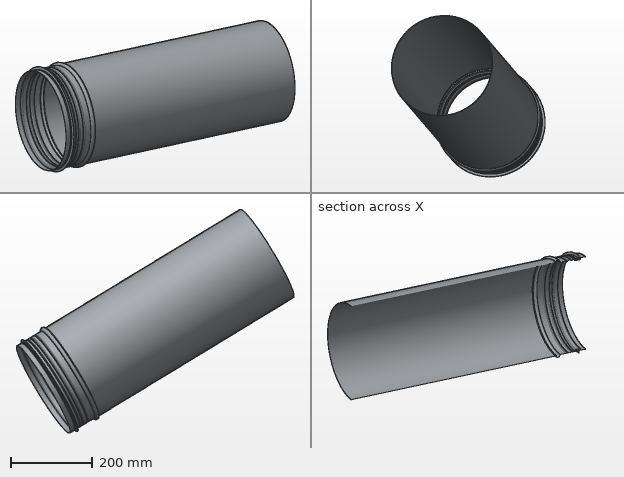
import cadquery as cq
import math

TOTAL_LENGTH = 650.0
SHEET = 1.0

DUCT_RADIUS = 254.7 / 2
DUCT_START = 80.5

COUPLING_RADIUS = 252.0 / 2
BEAD_RADIUS = 264.6 / 2 - COUPLING_RADIUS
BEAD_Y = 76.5
ROLLED_GROOVE_FLOOR_RADIUS = 247.0 / 2
ROLLED_GROOVE_BEND = (COUPLING_RADIUS - ROLLED_GROOVE_FLOOR_RADIUS) / 2
ROLLED_GROOVE_YS = (38.3, 51.3)

SEAT_START = 12.7
SEAT_WIDTH = 18.3
SEAT_END = SEAT_START + SEAT_WIDTH
SEAT_FLOOR_RADIUS = 242.0 / 2
SEAT_RIM_BEND = 2.0
SEAT_FLOOR_BEND = 2.0

SEAL_RADIUS = 250.6 / 2
LIP_RADIUS = 264.6 / 2
LIP_BASE_START = 16.7
LIP_BASE_END = 20.5
LIP_TIP_START = 18.2
LIP_TIP_WIDTH = 1.0

STRAP_RADIUS = 251.6 / 2
STRAP_START = LIP_BASE_END
STRAP_WIDTH = 6.7

OUT = (1, 0)
IN = (-1, 0)
FRONT = (0, -1)
BACK = (0, 1)


def turned(profile):
    """Revolve a closed outline, drawn as (radius, y), about the Y axis."""
    return profile.close().revolve(360, (0, 0), (0, 1))


def ring(inner_radius, outer_radius, start, length):
    """Plain tube from `start`, `length` long."""
    return turned(
        cq.Workplane("XY")
        .moveTo(inner_radius, start)
        .lineTo(outer_radius, start)
        .lineTo(outer_radius, start + length)
        .lineTo(inner_radius, start + length)
    )


def quarter_bend(outline, center, bend_radius, start, end):
    """Add a quarter arc from direction `start` to direction `end`, both unit vectors."""
    diagonal = math.sqrt(0.5)
    middle = [(a + b) * diagonal for a, b in zip(start, end)]
    points = [(center[0] + bend_radius * d[0], center[1] + bend_radius * d[1]) for d in (middle, end)]
    return outline.threePointArc(*points)


def add_groove(outline, inset, start, end, floor_radius, bends, has_straights):
    """Add a groove with bent rims and floor corners, joined by straights if it has them."""
    rim_bend, floor_bend = bends
    rim_center = COUPLING_RADIUS - rim_bend
    floor_center = floor_radius + floor_bend
    floor_start = start + rim_bend + floor_bend
    floor_end = end - rim_bend - floor_bend
    inset_rim = rim_bend - inset
    inset_floor = floor_bend + inset

    outline = outline.lineTo(COUPLING_RADIUS - inset, start)
    outline = quarter_bend(outline, (rim_center, start), inset_rim, OUT, BACK)
    if has_straights:
        outline = outline.lineTo(floor_center, start + inset_rim)
    outline = quarter_bend(outline, (floor_center, floor_start), inset_floor, FRONT, IN)
    if has_straights:
        outline = outline.lineTo(floor_radius - inset, floor_end)
    outline = quarter_bend(outline, (floor_center, floor_end), inset_floor, IN, BACK)
    if has_straights:
        outline = outline.lineTo(rim_center, end - inset_rim)
    return quarter_bend(outline, (rim_center, end), inset_rim, FRONT, OUT)


def coupling_core(inset):
    """Solid inside the coupling surface that lies `inset` below the outer skin."""
    radius = COUPLING_RADIUS - inset
    bead_radius = BEAD_RADIUS - inset
    bead_reach = math.sqrt(bead_radius**2 - inset**2)

    outline = cq.Workplane("XY").lineTo(radius, 0)
    outline = add_groove(
        outline, inset, SEAT_START, SEAT_END, SEAT_FLOOR_RADIUS,
        bends=(SEAT_RIM_BEND, SEAT_FLOOR_BEND), has_straights=True,
    )
    reach = 2 * ROLLED_GROOVE_BEND
    for y in ROLLED_GROOVE_YS:
        outline = add_groove(
            outline, inset, y - reach, y + reach, ROLLED_GROOVE_FLOOR_RADIUS,
            bends=(ROLLED_GROOVE_BEND, ROLLED_GROOVE_BEND), has_straights=False,
        )
    outline = outline.lineTo(radius, BEAD_Y - bead_reach)
    outline = outline.threePointArc((COUPLING_RADIUS + bead_radius, BEAD_Y), (radius, BEAD_Y + bead_reach))
    return turned(outline.lineTo(0, BEAD_Y + bead_reach))


duct = ring(DUCT_RADIUS - SHEET, DUCT_RADIUS, DUCT_START, TOTAL_LENGTH - DUCT_START)

duct_clearance = ring(0, DUCT_RADIUS, BEAD_Y, BEAD_RADIUS)
coupling = coupling_core(0).cut(coupling_core(SHEET)).cut(duct_clearance)

seal = turned(
    cq.Workplane("XY")
    .moveTo(0, SEAT_START)
    .lineTo(SEAL_RADIUS, SEAT_START)
    .lineTo(SEAL_RADIUS, LIP_BASE_START)
    .lineTo(LIP_RADIUS, LIP_TIP_START)
    .lineTo(LIP_RADIUS, LIP_TIP_START + LIP_TIP_WIDTH)
    .lineTo(SEAL_RADIUS, LIP_BASE_END)
    .lineTo(SEAL_RADIUS, SEAT_END)
    .lineTo(0, SEAT_END)
).cut(coupling_core(0))

strap = ring(SEAL_RADIUS, STRAP_RADIUS, STRAP_START, STRAP_WIDTH)

result = cq.Compound.makeCompound([duct.val(), *coupling.vals(), *seal.vals(), strap.val()])